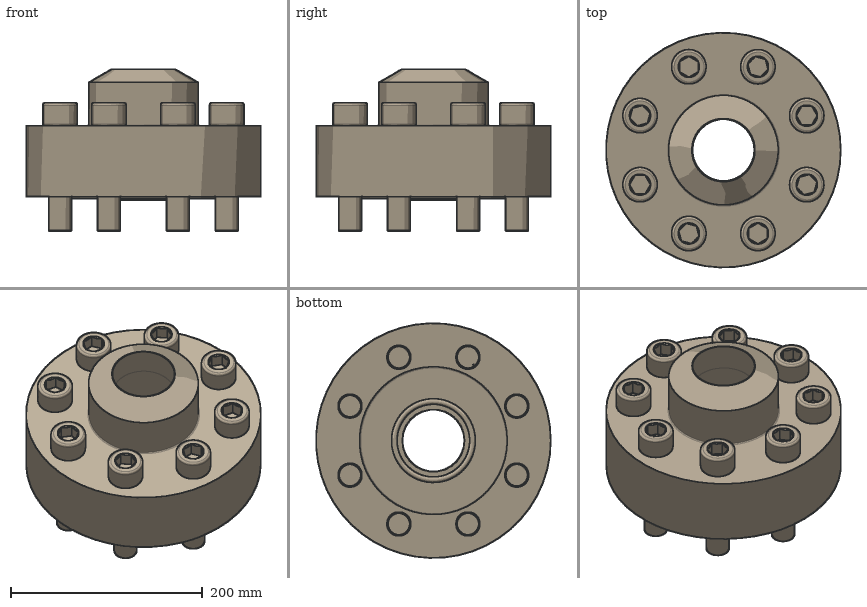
import cadquery as cq
import math

overall_height = 169.0
flange_diameter = 244.8
flange_bottom_z = 36.0
flange_thickness = 74.0
flange_top_z = flange_bottom_z + flange_thickness
raised_face_diameter = 154.0
raised_face_height = 2.2
raised_face_z = flange_bottom_z - raised_face_height
raised_face_fillet = 1.0

neck_diameter = 114.3
neck_fillet = 1.0
neck_tip_diameter = 65.8
bevel_angle = 30.0
bevel_height = (neck_diameter - neck_tip_diameter) / 2 * math.tan(math.radians(bevel_angle))

neck_bore_diameter = 64.5
face_bore_diameter = 64.4
straight_bore_depth = 28.5

groove_outer_diameter = 87.5
groove_inner_diameter = 75.6
groove_middle_radius = (groove_outer_diameter + groove_inner_diameter) / 4
seal_section_radius = (groove_outer_diameter - groove_inner_diameter) / 4
seal_protrusion = 1.7
seal_center_z = raised_face_z - seal_protrusion + seal_section_radius
groove_depth = 2 * seal_section_radius - seal_protrusion

bolt_count = 8
bolt_circle_radius = 94.0
bolt_spacing = 360.0 / bolt_count
first_bolt_angle = bolt_spacing / 2
bolt_hole_diameter = 25.0
shank_diameter = 24.0
shank_tip_chamfer = 0.7
head_diameter = 36.0
head_height = 24.0
head_top_z = flange_top_z + head_height
head_top_fillet = 2.5
head_base_fillet = 2.0
socket_corner_diameter = 22.0
socket_flat_diameter = socket_corner_diameter * math.cos(math.radians(30))
socket_depth = 14.7
socket_mouth_depth = (socket_corner_diameter - socket_flat_diameter) / 2


def bolt_angles():
    return [first_bolt_angle + i * bolt_spacing for i in range(bolt_count)]


def make_flange_blank():
    """Revolved flange, raised face, neck and bore."""
    profile = (
        cq.Workplane("XZ")
        .moveTo(face_bore_diameter / 2, raised_face_z)
        .lineTo(raised_face_diameter / 2 - raised_face_fillet, raised_face_z)
        .radiusArc(
            (raised_face_diameter / 2, raised_face_z + raised_face_fillet), -raised_face_fillet
        )
        .lineTo(raised_face_diameter / 2, flange_bottom_z)
        .lineTo(flange_diameter / 2, flange_bottom_z)
        .lineTo(flange_diameter / 2, flange_top_z)
        .lineTo(neck_diameter / 2 + neck_fillet, flange_top_z)
        .radiusArc((neck_diameter / 2, flange_top_z + neck_fillet), neck_fillet)
        .lineTo(neck_diameter / 2, overall_height - bevel_height)
        .lineTo(neck_tip_diameter / 2, overall_height)
        .lineTo(neck_bore_diameter / 2, overall_height)
        .lineTo(neck_bore_diameter / 2, overall_height - straight_bore_depth)
        .close()
    )
    return profile.revolve(360, (0, 0, 0), (0, 1, 0))


def make_bolt_holes():
    return (
        cq.Workplane("XY", origin=(0, 0, flange_bottom_z))
        .polarArray(bolt_circle_radius, first_bolt_angle, 360, bolt_count)
        .circle(bolt_hole_diameter / 2)
        .extrude(flange_thickness)
    )


def make_seal_groove():
    return (
        cq.Workplane("XY", origin=(0, 0, raised_face_z))
        .circle(groove_outer_diameter / 2)
        .circle(groove_inner_diameter / 2)
        .extrude(groove_depth)
    )


def make_flange():
    return make_flange_blank().cut(make_bolt_holes()).cut(make_seal_groove())


def make_seal():
    return cq.Workplane(
        cq.Solid.makeTorus(groove_middle_radius, seal_section_radius, cq.Vector(0, 0, seal_center_z))
    )


def make_socket():
    """Hexagonal socket with a 45 degree conical mouth; one corner points along +X."""
    hexagon = (
        cq.Workplane("XY", origin=(0, 0, head_top_z))
        .polygon(6, socket_corner_diameter)
        .extrude(-socket_depth)
    )
    mouth = (
        cq.Workplane("XY", origin=(0, 0, head_top_z))
        .circle(socket_corner_diameter / 2)
        .workplane(offset=-socket_mouth_depth)
        .circle(socket_flat_diameter / 2)
        .loft(combine=True)
    )
    return hexagon.union(mouth)


def make_bolt():
    """One bolt standing on the Z axis."""
    shank = (
        cq.Workplane("XY")
        .circle(shank_diameter / 2)
        .extrude(flange_top_z)
        .faces("<Z")
        .chamfer(shank_tip_chamfer)
    )
    head = (
        cq.Workplane("XY", origin=(0, 0, flange_top_z))
        .circle(head_diameter / 2)
        .extrude(head_height)
        .faces(">Z")
        .edges()
        .fillet(head_top_fillet)
        .faces("<Z")
        .edges()
        .fillet(head_base_fillet)
    )
    return shank.union(head).cut(make_socket())


def place_bolt(bolt, angle):
    """Move a bolt to its place on the bolt circle, turned with the flange pattern."""
    turned = bolt.rotate((0, 0, 0), (0, 0, 1), -first_bolt_angle)
    return turned.translate((bolt_circle_radius, 0, 0)).rotate((0, 0, 0), (0, 0, 1), angle)


flange = make_flange()
seal = make_seal()
bolt = make_bolt()
bolts = [place_bolt(bolt, angle) for angle in bolt_angles()]

result = cq.Compound.makeCompound(
    [flange.val(), seal.val()] + [placed.val() for placed in bolts]
)